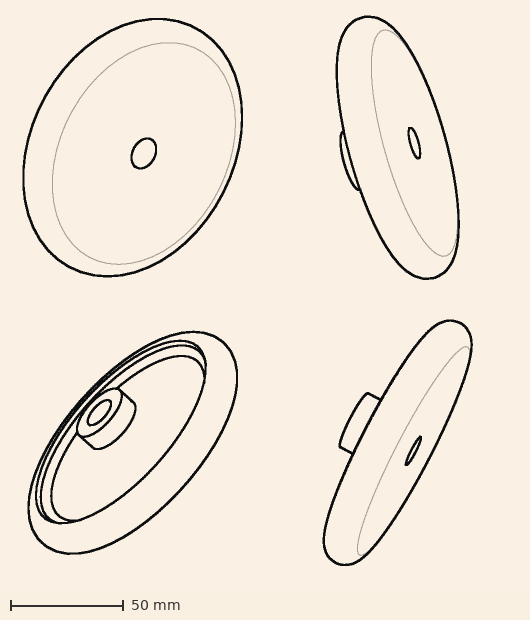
import cadquery as cq
import math

wheel_diameter = 120.0
wheel_depth = 30.0
hub_diameter = 27.0
bore_diameter = 14.0
hub_length = 9.0
rim_thickness = 16.0

web_slope = 0.3
web_radius = 46.1
wall_radius = 49.9
rim_inner_radius = 51.0
wall_depth = 16.1

wheel_radius = wheel_diameter / 2
hub_radius = hub_diameter / 2
bore_radius = bore_diameter / 2
rim_radius = rim_thickness / 2
rim_center_x = wheel_depth - rim_radius
rim_center_radius = wheel_radius - rim_radius
web_edge_x = hub_length + web_slope * (web_radius - hub_radius)

rim_inner_offset = rim_center_radius - rim_inner_radius
rim_inner_x = rim_center_x - math.sqrt(rim_radius**2 - rim_inner_offset**2)

half_section = (
    cq.Workplane("XY")
    .moveTo(0, bore_radius)
    .lineTo(0, hub_radius)
    .lineTo(hub_length, hub_radius)
    .lineTo(web_edge_x, web_radius)
    .lineTo(wall_depth, wall_radius)
    .lineTo(rim_inner_x, rim_inner_radius)
    .threePointArc((rim_center_x, wheel_radius), (wheel_depth, rim_center_radius))
    .lineTo(wheel_depth, bore_radius)
    .close()
)

result = half_section.revolve(360, (0, 0, 0), (1, 0, 0))